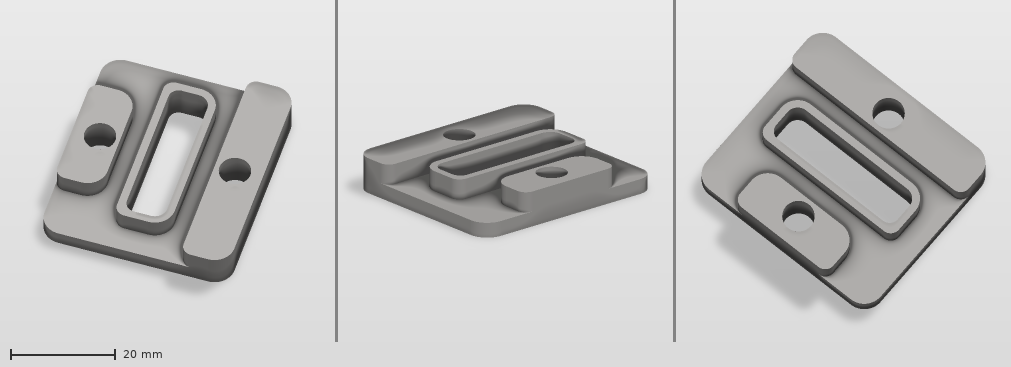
import cadquery as cq

length_x = 38.0
length_y = 43.0
total_height = 7.1
base_height = 3.0
large_radius = 4.0
small_radius = 2.0

raised_height = total_height - base_height
pad_width = 9.4
pad_length = 23.0
bar_width = 9.55
ring_width = 10.92
ring_length = 33.02
ring_wall = 1.5

hole_diameter = 6.2
hole_spacing = 27.0


def rounded_block(x_min, width, length, bottom, height, left_radius, right_radius):
    """Block centred on Y, with separate corner radii on its -X and +X edges."""
    block = cq.Workplane("XY").box(width, length, height, centered=(False, True, False))
    block = block.edges("|Z and <X").fillet(left_radius)
    block = block.edges("|Z and >X").fillet(right_radius)
    return block.translate((x_min, 0, bottom))


base = rounded_block(-length_x / 2, length_x, length_y, 0, base_height, large_radius, large_radius)

pad = rounded_block(
    -length_x / 2, pad_width, pad_length, base_height, raised_height, small_radius, large_radius
)

bar = rounded_block(
    length_x / 2 - bar_width, bar_width, length_y, base_height, raised_height, small_radius, large_radius
)

ring = rounded_block(
    -ring_width / 2, ring_width, ring_length, base_height, raised_height, small_radius, large_radius
)

slot_width = ring_width - 2 * ring_wall
slot_length = ring_length - 2 * ring_wall
slot_right_radius = large_radius - ring_wall
slot = rounded_block(-slot_width / 2, slot_width, slot_length, 0, total_height, small_radius, slot_right_radius)

holes = (
    cq.Workplane("XY")
    .pushPoints([(-hole_spacing / 2, 0), (hole_spacing / 2, 0)])
    .circle(hole_diameter / 2)
    .extrude(total_height)
)

result = base.union(pad).union(bar).union(ring).cut(slot).cut(holes)